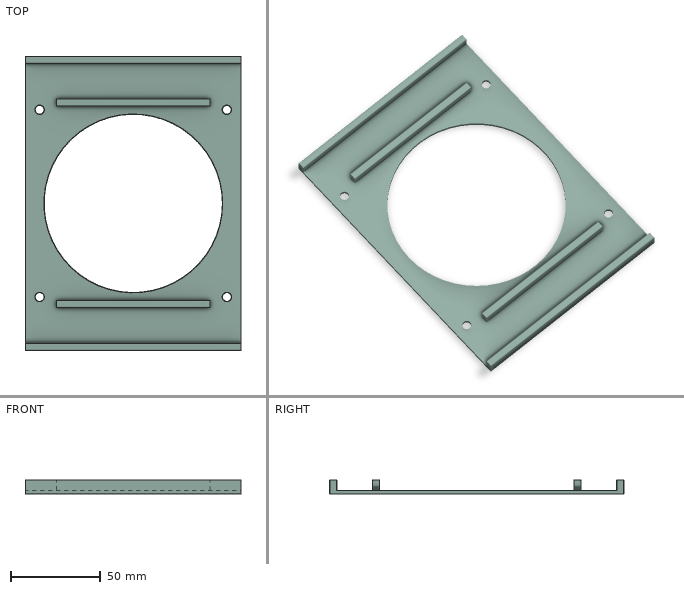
import cadquery as cq

plate_length_x = 121.0
plate_width_y = 165.0
plate_thickness = 2.0
overall_height = 8.0

opening_diameter = 100.0
screw_hole_diameter = 5.0
screw_hole_spacing = 105.0

bar_width = 4.0
rail_centre_y = (plate_width_y - bar_width) / 2
rib_length = 86.0
rib_centre_y = 56.5
edge_round = 0.6


def raised_bar(length, centre_y):
    """Bar along X, from the plate underside to full height, with rounded long edges."""
    bar = cq.Workplane("XY").box(length, bar_width, overall_height, centered=(True, True, False))
    return bar.edges("|X").fillet(edge_round).translate((0, centre_y, 0))


def base_plate():
    """Flat plate whose two bottom edges along X are rounded."""
    plate = cq.Workplane("XY").box(
        plate_length_x, plate_width_y, plate_thickness, centered=(True, True, False)
    )
    return plate.edges("|X and <Z").fillet(edge_round)


def cut_openings(body):
    """Cut the large central opening and the four screw holes through the plate."""
    body = body.cut(cq.Workplane("XY").circle(opening_diameter / 2).extrude(plate_thickness))
    screw_holes = (
        cq.Workplane("XY")
        .rect(screw_hole_spacing, screw_hole_spacing, forConstruction=True)
        .vertices()
        .circle(screw_hole_diameter / 2)
        .extrude(plate_thickness)
    )
    return body.cut(screw_holes)


body = base_plate()
for side in (-1, 1):
    body = body.union(raised_bar(plate_length_x, side * rail_centre_y))
    body = body.union(raised_bar(rib_length, side * rib_centre_y))

result = cut_openings(body)